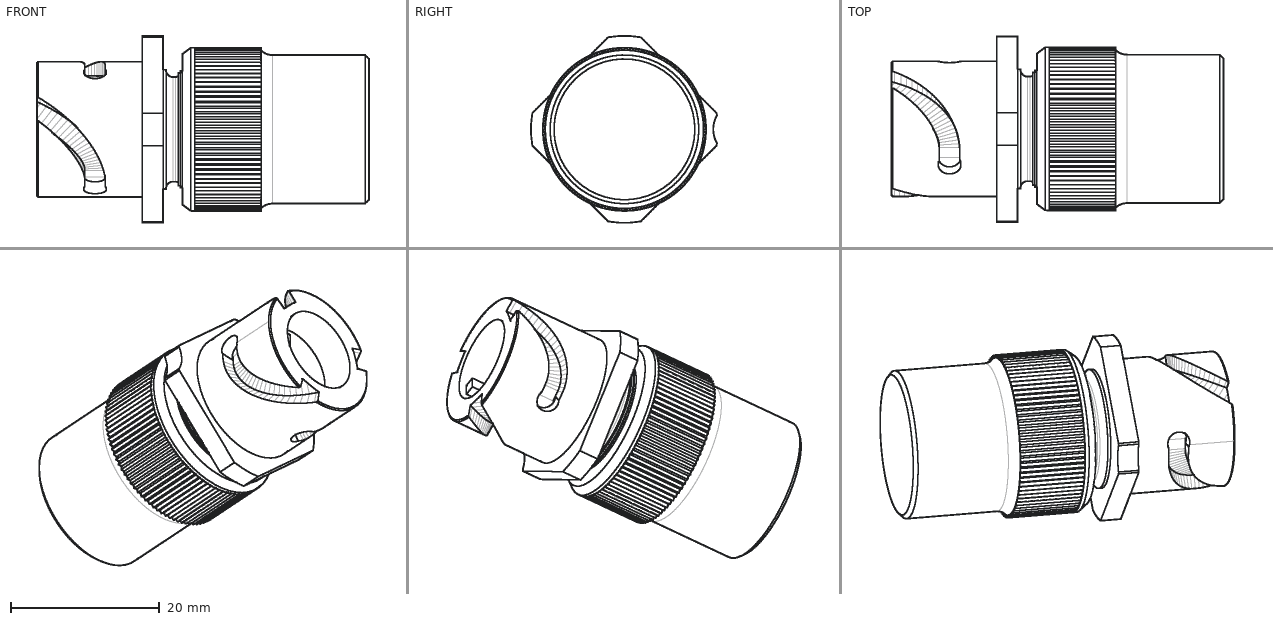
import cadquery as cq
import math

flange_front = 14.15
flange_back = 16.95
neck_land_end = 17.35
neck_floor_end = 18.55
neck_step_start = 18.95
neck_collar_start = 19.25
ring_front = 19.55
rim_start = 20.65
knurl_start = 21.2
knurl_end = 30.1
barrel_start = 31.6
total_length = 44.6

nose_radius = 9.1
neck_radius = 7.05
neck_land_radius = 8.05
neck_step_radius = 7.6
neck_collar_radius = 7.85
ring_face_radius = 10.12
rim_radius = 10.95
barrel_radius = 10.0

nose_chamfer = 0.2
barrel_chamfer = 0.55
neck_fillet = 0.9

tooth_count = 90
tooth_root_radius = 10.6
tooth_phase = 0.5

flange_square = 20.6
flange_corner_radius = 12.58
notch_half_width = 1.87
notch_depth = 0.5

socket_radius = 5.8
socket_depth = 4.9
key_front = 1.1
key_inner_y = 4.2
key_width = 1.8

slot_count = 3
slot_width = 2.7
slot_floor_radius = 7.2
slot_pocket_diameter = 3.05
slot_pocket_x = 7.8
slot_start_angle = 41.5
slot_sweep_angle = 80.5
slot_curve_length = 10.9
slot_facets = 22
cutter_radius = nose_radius + 0.9


def turned_body():
    """Nose, core, neck, ring and barrel, revolved about the X axis."""
    neck_floor_start = neck_land_end + neck_fillet
    neck_top = neck_radius + neck_fillet
    arc_inset = neck_fillet * math.sqrt(0.5)
    arc_height = neck_top - arc_inset

    rear_angle = math.asin((neck_step_start - neck_floor_end) / neck_fillet)
    rear_fillet = [
        (neck_floor_end + neck_fillet * math.sin(angle), neck_top - neck_fillet * math.cos(angle))
        for angle in (rear_angle / 2, rear_angle)
    ]

    shoulder_length = barrel_start - knurl_end
    shoulder_drop = tooth_root_radius - barrel_radius
    shoulder_arc = (shoulder_length**2 + shoulder_drop**2) / (2 * shoulder_drop)
    half_angle = math.asin(shoulder_length / shoulder_arc) / 2
    shoulder_middle = (
        barrel_start - shoulder_arc * math.sin(half_angle),
        barrel_radius + shoulder_arc * (1 - math.cos(half_angle)),
    )

    profile = (
        cq.Workplane("XY")
        .moveTo(0, 0)
        .lineTo(0, nose_radius - nose_chamfer)
        .lineTo(nose_chamfer, nose_radius)
        .lineTo(flange_back, nose_radius)
        .lineTo(flange_back, neck_land_radius)
        .lineTo(neck_land_end, neck_land_radius)
        .lineTo(neck_land_end, neck_top)
        .threePointArc((neck_floor_start - arc_inset, arc_height), (neck_floor_start, neck_radius))
        .lineTo(neck_floor_end, neck_radius)
        .threePointArc(*rear_fillet)
        .lineTo(neck_step_start, neck_step_radius)
        .lineTo(neck_collar_start, neck_step_radius)
        .lineTo(neck_collar_start, neck_collar_radius)
        .lineTo(ring_front, neck_collar_radius)
        .lineTo(ring_front, ring_face_radius)
        .lineTo(rim_start, rim_radius)
        .lineTo(knurl_start, rim_radius)
        .lineTo(knurl_start, tooth_root_radius)
        .lineTo(knurl_end, tooth_root_radius)
        .threePointArc(shoulder_middle, (barrel_start, barrel_radius))
        .lineTo(total_length - barrel_chamfer, barrel_radius)
        .lineTo(total_length, barrel_radius - barrel_chamfer)
        .lineTo(total_length, 0)
        .close()
    )
    return profile.revolve(360, (0, 0, 0), (1, 0, 0))


def knurl():
    """Toothed ring between the rim and the shoulder."""
    outline = []
    for index in range(2 * tooth_count):
        angle = math.pi * (index + tooth_phase) / tooth_count
        radius = rim_radius if index % 2 == 0 else tooth_root_radius
        outline.append((radius * math.cos(angle), radius * math.sin(angle)))
    return (
        cq.Workplane("YZ", origin=(knurl_start, 0, 0))
        .polyline(outline)
        .close()
        .extrude(knurl_end - knurl_start)
    )


def flange():
    """Square plate on its corner, corners rounded, with a round notch at +Y."""
    thickness = flange_back - flange_front
    plane = cq.Workplane("YZ", origin=(flange_front, 0, 0))
    square = plane.transformed(rotate=(0, 0, 45)).rect(flange_square, flange_square).extrude(thickness)
    plate = square.intersect(plane.circle(flange_corner_radius).extrude(thickness))

    notch_edge_y = math.sqrt(flange_corner_radius**2 - notch_half_width**2)
    notch_radius = (notch_half_width**2 + notch_depth**2) / (2 * notch_depth)
    notch_center_y = notch_edge_y - notch_depth + notch_radius
    return plate.cut(plane.center(notch_center_y, 0).circle(notch_radius).extrude(thickness))


def socket():
    """Round bore with the key left standing on its +Y wall."""
    bore = cq.Workplane("YZ").circle(socket_radius).extrude(socket_depth)
    key = cq.Workplane("XY").box(
        socket_depth - key_front, socket_radius, key_width, centered=(False, False, True)
    )
    return bore.cut(key.translate((key_front, key_inner_y, 0)))


def slot_section(distance):
    """Rectangle across the slot, at a distance along the nose surface from the slot mouth."""
    remaining = max(slot_curve_length - distance, 0)
    curve = slot_pocket_x / slot_curve_length**2
    x = slot_pocket_x - curve * remaining**2
    slope = 2 * curve * remaining

    angle = math.radians(slot_start_angle) + distance / nose_radius
    radial = cq.Vector(0, math.cos(angle), math.sin(angle))
    around = cq.Vector(0, -math.sin(angle), math.cos(angle))
    across = (cq.Vector(1, 0, 0) - around * slope).normalized() * (slot_width / 2)

    floor = cq.Vector(x, 0, 0) + radial * slot_floor_radius
    top = cq.Vector(x, 0, 0) + radial * cutter_radius
    corners = [floor - across, floor + across, top + across, top - across]
    return cq.Wire.makePolygon(corners, close=True)


def bayonet_slot():
    """Slot rising from the nose face along a parabola, then running level into a pocket."""
    end_distance = math.radians(slot_sweep_angle) * nose_radius
    start_distance = -slot_width / 2
    step = (slot_curve_length - start_distance) / slot_facets
    distances = [start_distance + step * index for index in range(slot_facets + 1)]
    distances.append(end_distance)
    sections = [slot_section(distance) for distance in distances]
    track = cq.Workplane(cq.Solid.makeLoft(sections, True))

    angle = math.radians(slot_start_angle + slot_sweep_angle)
    radial = cq.Vector(0, math.cos(angle), math.sin(angle))
    pocket = cq.Solid.makeCylinder(
        slot_pocket_diameter / 2,
        cutter_radius - slot_floor_radius,
        cq.Vector(slot_pocket_x, 0, 0) + radial * slot_floor_radius,
        radial,
    )
    return track.union(cq.Workplane(pocket))


result = turned_body().union(flange()).union(knurl()).cut(socket())

slot = bayonet_slot()
for index in range(slot_count):
    result = result.cut(slot.rotate((0, 0, 0), (1, 0, 0), 360 / slot_count * index))